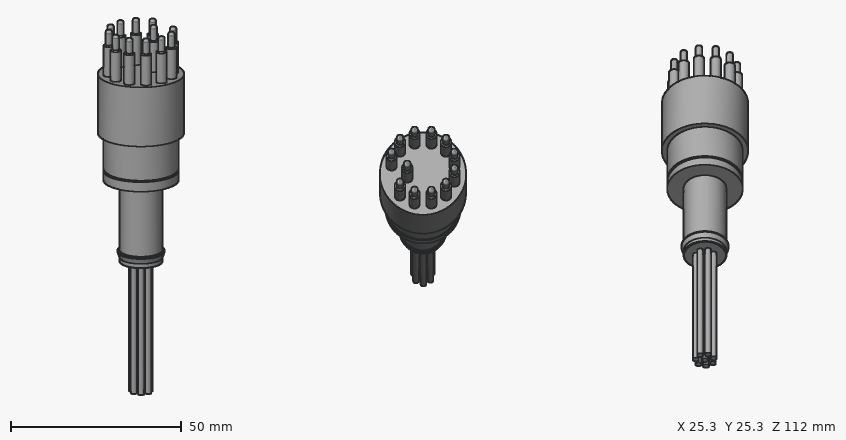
import cadquery as cq
import math


total_height = 112.0
wire_length = 40.0
barb_bottom = 41.4
barb_rim_bottom = 43.1
barb_top = 43.7
collar_bottom = 65.3
groove_height = 68.4
head_bottom = 79.7
head_top = 98.0
pin_shoulder = 107.1

head_radius = 25.3 / 2
collar_radius = 22.2 / 2
stem_radius = 12.7 / 2
stem_chamfer = 0.2
barb_radius = 6.9
barb_chamfer = 0.2
groove_width = 0.5
groove_depth = 0.2

pin_count = 12
pin_circle_radius = 9.5
key_pin_radius = pin_circle_radius / 2
pin_base_radius = 3.1 / 2
pin_tip_radius = 2.0 / 2
pin_shoulder_rise = 0.3
pin_end_fillet = 0.8

ring_wire_count = 7
wire_ring_radius = 2.7
wire_radius = 1.8 / 2


def turned(profile):
    """Revolve a closed (radius, height) outline around Z."""
    return cq.Workplane("XZ").polyline(profile).close().revolve(360, (0, 0), (0, 1))


def point_at(radius, angle):
    """Point on a circle, with the angle in degrees measured clockwise from +Y."""
    turn = math.radians(angle)
    return (radius * math.sin(turn), radius * math.cos(turn))


def make_body():
    groove_floor = collar_radius - groove_depth
    groove_bottom = groove_height - groove_width / 2
    groove_top = groove_height + groove_width / 2
    return turned([
        (0, wire_length),
        (stem_radius - stem_chamfer, wire_length),
        (stem_radius, wire_length + stem_chamfer),
        (stem_radius, barb_bottom),
        (barb_radius, barb_rim_bottom),
        (barb_radius, barb_top - barb_chamfer),
        (barb_radius - barb_chamfer, barb_top),
        (stem_radius, barb_top),
        (stem_radius, collar_bottom),
        (collar_radius, collar_bottom),
        (collar_radius, groove_bottom),
        (groove_floor, groove_bottom),
        (groove_floor, groove_top),
        (collar_radius, groove_top),
        (collar_radius, head_bottom),
        (head_radius, head_bottom),
        (head_radius, head_top),
        (0, head_top),
    ])


def make_pin():
    """Stepped pin with a conical shoulder and rounded end, its foot sunk to the bottom of the head."""
    pin = turned([
        (0, head_bottom),
        (pin_base_radius, head_bottom),
        (pin_base_radius, pin_shoulder),
        (pin_tip_radius, pin_shoulder + pin_shoulder_rise),
        (pin_tip_radius, total_height),
        (0, total_height),
    ])
    return pin.faces(">Z").edges().fillet(pin_end_fillet)


def make_wires():
    """Wires running from height 0 into the stem, with one ring wire facing -Y."""
    centers = [(0, 0)]
    for i in range(ring_wire_count):
        centers.append(point_at(wire_ring_radius, 180 + i * 360 / ring_wire_count))
    return cq.Workplane("XY").pushPoints(centers).circle(wire_radius).extrude(barb_bottom)


result = make_body().union(make_wires())
pin = make_pin()
for i in range(pin_count):
    circle_radius = key_pin_radius if i == 0 else pin_circle_radius
    x, y = point_at(circle_radius, i * 360 / pin_count)
    result = result.union(pin.translate((x, y, 0)))